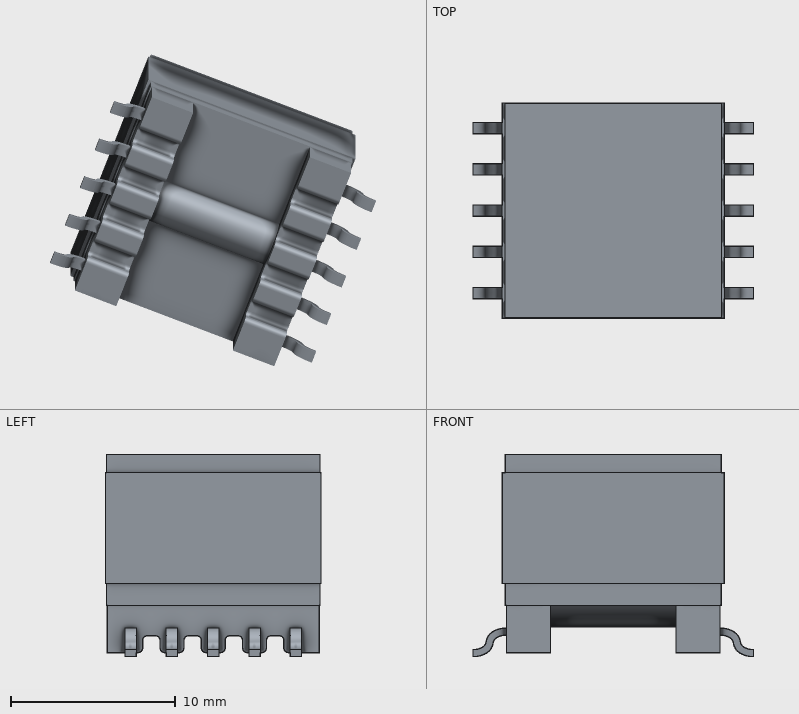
import cadquery as cq

total_height = 12.3
foot_bottom = 0.24
core_bottom = 3.12
body_bottom = 4.44
body_top = 11.19

core_length = 13.14
core_width = 13.0
body_length = 13.51
body_width = 13.1

foot_span = 13.0
foot_thickness = 2.7
foot_width = 12.9
inner_span = foot_span - 2 * foot_thickness
winding_radius = 1.31

lead_span = 17.06
lead_count = 5
lead_pitch = 2.5
lead_width = 0.7
lead_thickness = 0.45
lead_rise = 1.3
lead_embed = 0.34
tip_straight = 0.07
bend_run = 0.72
bend_rise = 0.19

notch_width = 1.04
notch_depth = 1.02
notch_top_radius = 0.25
notch_mouth_radius = 0.3


def block(length, width, bottom, top):
    """A box centred on the Z axis between two heights."""
    return cq.Workplane("XY").workplane(offset=bottom).rect(length, width).extrude(top - bottom)


def row_positions(count):
    """Y places of a centred row at the lead pitch."""
    return [(i - (count - 1) / 2) * lead_pitch for i in range(count)]


def notch_cutter(y):
    """A notch running through both feet, with a rounded top and a flared mouth."""
    half = notch_width / 2
    top = foot_bottom + notch_depth
    mouth_top = foot_bottom + notch_mouth_radius
    slot = block(foot_span, notch_width, foot_bottom, top).edges("|X and >Z").fillet(notch_top_radius)
    mouth = block(foot_span, notch_width + 2 * notch_mouth_radius, foot_bottom, mouth_top)
    for side in (-1, 1):
        shoulder = (
            cq.Workplane("YZ")
            .center(side * (half + notch_mouth_radius), mouth_top)
            .circle(notch_mouth_radius)
            .extrude(foot_span / 2, both=True)
        )
        mouth = mouth.cut(shoulder)
    return slot.union(mouth).translate((0, y, 0))


def make_feet():
    """The two notched feet at the ends of the bobbin."""
    feet = block(foot_span, foot_width, foot_bottom, core_bottom)
    feet = feet.cut(block(inner_span, foot_width, foot_bottom, core_bottom))
    for y in row_positions(lead_count - 1):
        feet = feet.cut(notch_cutter(y))
    return feet


def make_winding():
    """A cylinder along X whose lower half hangs below the core."""
    axis_start = (-inner_span / 2, 0, core_bottom)
    return cq.Workplane("YZ", origin=axis_start).circle(winding_radius).extrude(inner_span)


def make_lead():
    """An S-shaped lead on the -X side, point-symmetric about its middle."""
    run = (lead_span - foot_span) / 2
    tip_x = -lead_span / 2
    tip_z = lead_thickness / 2
    path = (
        cq.Workplane("XZ", origin=(tip_x, 0, tip_z))
        .hLine(tip_straight)
        .tangentArcPoint((bend_run, bend_rise), relative=False)
        .tangentArcPoint((run / 2, lead_rise / 2), relative=False)
        .tangentArcPoint((run - bend_run, lead_rise - bend_rise), relative=False)
        .tangentArcPoint((run, lead_rise), relative=False)
        .hLine(lead_embed)
    )
    return cq.Workplane("YZ", origin=(tip_x, 0, tip_z)).rect(lead_width, lead_thickness).sweep(path)


result = block(core_length, core_width, core_bottom, total_height)
result = result.union(block(body_length, body_width, body_bottom, body_top))
result = result.union(make_feet()).union(make_winding())

lead = make_lead()
for y in row_positions(lead_count):
    placed_lead = lead.translate((0, y, 0))
    result = result.union(placed_lead).union(placed_lead.mirror("YZ"))